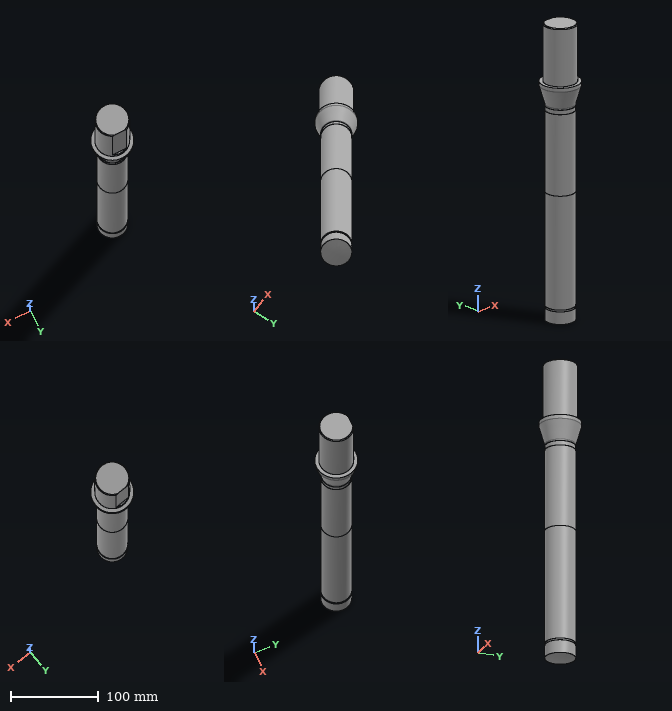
import cadquery as cq

total_height = 363.0
joint_height = 158.0

shaft_diameter = 36.0
groove_diameter = 35.5

tip_groove_bottom = 16.7
tip_groove_top = 19.0
tip_dome_height = 1.0

neck_groove_bottom = 257.5
neck_groove_top = 262.8
cone_bottom = 264.5
collar_bottom = 287.5
collar_top = 292.2
collar_diameter = 49.5

head_diameter = 40.0
flat_offset = 17.8
head_chamfer = 1.0
flat_bottom = 297.0


def cylinder(diameter, bottom, top):
    """Upright cylinder on the Z axis."""
    return cq.Workplane("XY").workplane(offset=bottom).circle(diameter / 2).extrude(top - bottom)


def cut_groove(shaft, bottom, top):
    """Turn the shaft down to the groove diameter between two heights."""
    ring = cylinder(shaft_diameter, bottom, top).cut(cylinder(groove_diameter, bottom, top))
    return shaft.cut(ring)


def make_lower_shaft():
    """Plain shaft with a domed tip and a shallow groove above it."""
    shaft_radius = shaft_diameter / 2
    dome_radius = (shaft_radius**2 + tip_dome_height**2) / (2 * tip_dome_height)
    shaft = (
        cq.Workplane("XZ")
        .moveTo(0, joint_height)
        .lineTo(shaft_radius, joint_height)
        .lineTo(shaft_radius, tip_dome_height)
        .radiusArc((0, 0), dome_radius)
        .close()
        .revolve(360, (0, 0, 0), (0, 1, 0))
    )
    return cut_groove(shaft, tip_groove_bottom, tip_groove_top)


def make_collared_shaft():
    """Shaft that widens through a cone into a collar."""
    shaft_radius = shaft_diameter / 2
    collar_radius = collar_diameter / 2
    body = (
        cq.Workplane("XZ")
        .moveTo(0, joint_height)
        .lineTo(shaft_radius, joint_height)
        .lineTo(shaft_radius, cone_bottom)
        .lineTo(collar_radius, collar_bottom)
        .lineTo(collar_radius, collar_top)
        .lineTo(0, collar_top)
        .close()
        .revolve(360, (0, 0, 0), (0, 1, 0))
    )
    return cut_groove(body, neck_groove_bottom, neck_groove_top)


def make_head():
    """Round head with a chamfered end, flattened on +Y above a short round foot."""
    head = cylinder(head_diameter, collar_top, total_height)
    head = head.faces(">Z").edges().chamfer(head_chamfer)
    flat_height = total_height - flat_bottom
    flat_cut = (
        cq.Workplane("XY", origin=(0, flat_offset, flat_bottom))
        .box(head_diameter, head_diameter, flat_height, centered=(True, False, False))
    )
    return head.cut(flat_cut)


lower_body = make_lower_shaft()
upper_body = make_collared_shaft().union(make_head())

result = cq.Compound.makeCompound([lower_body.val(), upper_body.val()])